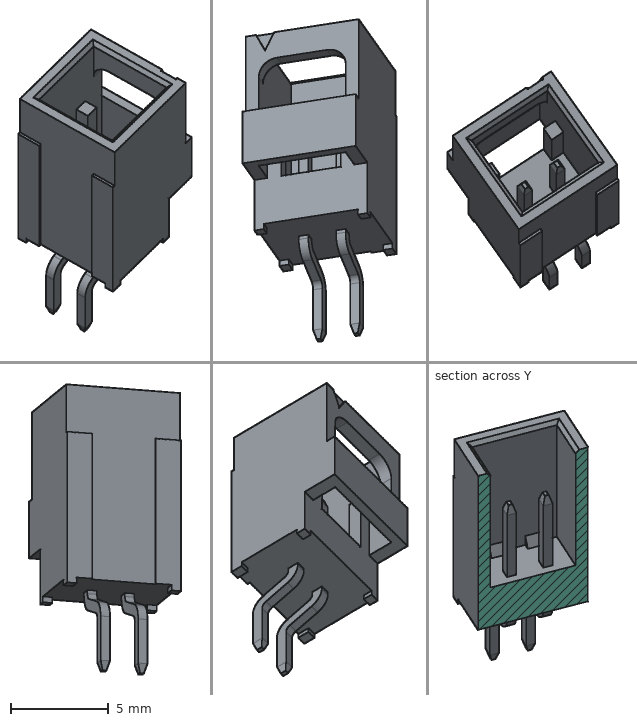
import cadquery as cq
import math

width = 6.1
height = 14.97
housing_front = 0.15
housing_back = 6.17
lower_back = 4.75
shroud_bottom = 7.38
base_bottom = 4.76
foot_size = 0.51
foot_height = 0.3

mouth_wall = 0.5
mouth_flare = 0.21
cavity_margin = mouth_wall + mouth_flare
cavity_width = width - 2 * cavity_margin
cavity_front = housing_front + cavity_margin
cavity_back = housing_back - cavity_margin
floor_level = shroud_bottom

window_top = 13.47
window_corner_radius = 1.0
bar_back = 6.68
bar_top = 10.37

pad_width = 1.35
pad_top = 12.43

post_size = 0.73
post_top = 11.23
ramp_width = 0.81
ramp_depth = 0.35
ramp_angle = 60.0

mark_center = 5.05
mark_width = 0.99
mark_height = mark_width
mark_depth = 0.1

pin_pitch = 2.0
pin_width = 0.51
pin_depth = 0.6
pin_upper_y = 2.6
pin_lower_y = pin_depth / 2
pin_top = 11.98
pin_tip_length = 0.5
pin_tip_width = 0.21
pin_tip_depth = 0.31
pin_slope = 19.0
pin_bend_radius = 0.67
lower_bend_start = 2.83

center_x = width / 2
pin_positions = [center_x - pin_pitch / 2, center_x + pin_pitch / 2]


def block(x0, x1, y0, y1, z0, z1):
    """Axis-aligned box between two opposite corners."""
    return cq.Workplane("XY").box(x1 - x0, y1 - y0, z1 - z0, centered=False).translate((x0, y0, z0))


def make_outer():
    """Solid outer shape: shroud, lower section, back bar, front pads and corner feet."""
    body = block(0, width, housing_front, housing_back, shroud_bottom, height)
    body = body.union(block(0, width, housing_front, lower_back, base_bottom, shroud_bottom))
    body = body.union(block(0, width, housing_back, bar_back, shroud_bottom, bar_top))
    foot_bottom = base_bottom - foot_height
    for pad_x, foot_x in ((0, 0), (width - pad_width, width - foot_size)):
        body = body.union(block(pad_x, pad_x + pad_width, 0, housing_front, base_bottom, pad_top))
        front_foot_back = housing_front + foot_size
        body = body.union(block(foot_x, foot_x + foot_size, 0, front_foot_back, foot_bottom, base_bottom))
        back_foot_front = lower_back - foot_size
        body = body.union(
            block(foot_x, foot_x + foot_size, back_foot_front, lower_back, foot_bottom, base_bottom)
        )
    return body


def make_cavity():
    """Cavity down to the floor, widening at the mouth; it is open below behind the lower section."""
    cavity = block(cavity_margin, width - cavity_margin, cavity_front, cavity_back, floor_level, height)
    depth = cavity_back - cavity_front
    flare = (
        cq.Workplane("XY", origin=(center_x, (cavity_front + cavity_back) / 2, height - mouth_flare))
        .rect(cavity_width, depth)
        .workplane(offset=mouth_flare)
        .rect(cavity_width + 2 * mouth_flare, depth + 2 * mouth_flare)
        .loft(combine=True)
    )
    return cavity.union(flare)


def make_window():
    """Full-cavity-width opening in the back wall with rounded upper corners."""
    window = block(
        cavity_margin, width - cavity_margin, cavity_back, housing_back, shroud_bottom, window_top
    )
    return window.edges("|Y and >Z").fillet(window_corner_radius)


def make_mark():
    """Downward-pointing triangular prism at the top of the back face."""
    return (
        cq.Workplane("XZ", origin=(0, housing_back, 0))
        .moveTo(mark_center - mark_width / 2, height)
        .lineTo(mark_center + mark_width / 2, height)
        .lineTo(mark_center, height - mark_height)
        .close()
        .extrude(mark_depth)
    )


def make_ramp(x):
    """Wedge on the front wall of the cavity, tapering out upward."""
    ramp_height = ramp_depth * math.tan(math.radians(ramp_angle))
    return (
        cq.Workplane("YZ", origin=(x - ramp_width / 2, 0, 0))
        .moveTo(cavity_front, floor_level)
        .lineTo(cavity_front + ramp_depth, floor_level)
        .lineTo(cavity_front, floor_level + ramp_height)
        .close()
        .extrude(ramp_width)
    )


def make_tip(x, y, z_base, direction):
    """Tapered pin end; direction is +1 for upward and -1 for downward."""
    return (
        cq.Workplane("XY", origin=(x, y, z_base))
        .rect(pin_width, pin_depth)
        .workplane(offset=direction * pin_tip_length)
        .rect(pin_tip_width, pin_tip_depth)
        .loft(combine=True)
    )


def make_pin(x):
    """Pin that drops from the cavity and jogs forward below the housing."""
    slope = math.radians(pin_slope)
    bend_length = pin_bend_radius * math.tan((math.pi / 2 - slope) / 2)
    lower_corner_z = lower_bend_start + bend_length
    upper_corner_z = lower_corner_z + (pin_upper_y - pin_lower_y) * math.tan(slope)
    slope_y = bend_length * math.cos(slope)
    slope_z = bend_length * math.sin(slope)
    shaft_bottom = pin_tip_length
    shaft_top = pin_top - pin_tip_length
    path = (
        cq.Workplane("YZ", origin=(x, 0, 0))
        .moveTo(pin_lower_y, shaft_bottom)
        .lineTo(pin_lower_y, lower_bend_start)
        .tangentArcPoint((pin_lower_y + slope_y, lower_corner_z + slope_z), relative=False)
        .lineTo(pin_upper_y - slope_y, upper_corner_z - slope_z)
        .tangentArcPoint((pin_upper_y, upper_corner_z + bend_length), relative=False)
        .lineTo(pin_upper_y, shaft_top)
    )
    shaft = (
        cq.Workplane("XY", origin=(x, pin_lower_y, shaft_bottom))
        .rect(pin_width, pin_depth)
        .sweep(path)
    )
    return (
        shaft.union(make_tip(x, pin_upper_y, shaft_top, 1))
        .union(make_tip(x, pin_lower_y, shaft_bottom, -1))
    )


result = make_outer().cut(make_cavity()).cut(make_window()).cut(make_mark())

for post_x in (cavity_margin, width - cavity_margin - post_size):
    post = block(post_x, post_x + post_size, lower_back - post_size, lower_back, floor_level, post_top)
    result = result.union(post)

for pin_x in pin_positions:
    result = result.union(make_ramp(pin_x)).union(make_pin(pin_x))